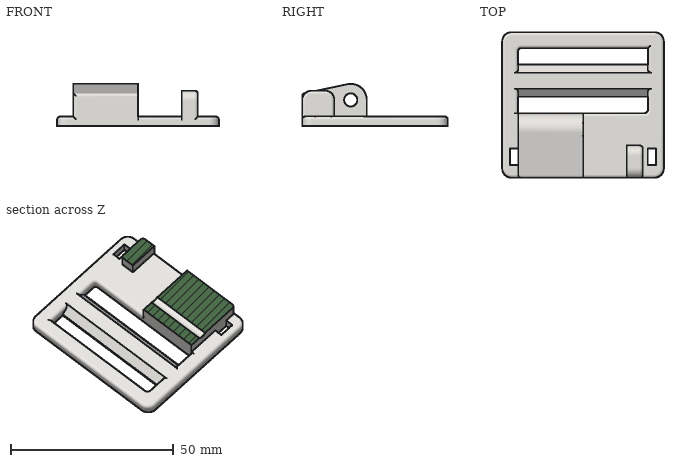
import cadquery as cq
import math

length = 50
width = 45
thickness = 3
corner_radius = 3
edge_round = 1

slot_left = 5
slot_right = length - slot_left
slot_front = 20
slot_back = 40
bar_center = 30
bar_top_half = 2.5
bar_bottom_half = 5
bar_lip = 0.5
slot_corner_radius = 1

block_left = slot_left
block_length = 20
block_radius = 5
block_height = 13.1
block_front_height = 10
pin_diameter = 4

tab_left = 38.5
tab_thickness = 5
tab_depth = 10
tab_height = 11
tab_radius = 3

window_length = 2.5
window_width = 5
window_front = 4
window_inset = 2.5


def side_profile(x):
    """Workplane whose local axes are Y and Z, extruding toward +X from x."""
    return cq.Workplane("YZ").workplane(offset=x)


def make_plate():
    blank = cq.Workplane("XY").box(length, width, thickness, centered=False)
    return blank.edges("|Z").fillet(corner_radius).faces(">Z").edges().fillet(edge_round)


def make_slot(outer_y, direction, rounded_x):
    """Cutter with a sloped bar side, one rounded outer corner and a flared rim.

    direction points from the bar toward the outer wall of the slot.
    """
    cutter = (
        side_profile(slot_left)
        .polyline([
            (outer_y, 0),
            (bar_center + direction * bar_bottom_half, 0),
            (bar_center + direction * bar_bottom_half, bar_lip),
            (bar_center + direction * bar_top_half, thickness),
            (outer_y, thickness),
        ])
        .close()
        .extrude(slot_right - slot_left)
    )
    corner = cq.selectors.NearestToPointSelector((rounded_x, outer_y, thickness / 2))
    return cutter.edges(corner).fillet(slot_corner_radius)


def round_slot_rim(plate, outer_y, direction):
    """Round the top edges of the slot's end walls and outer wall."""
    bar_y = bar_center + direction * bar_top_half
    low_y, high_y = sorted((bar_y, outer_y))
    margin = 0.25
    rim = cq.selectors.BoxSelector(
        (slot_left - margin, low_y - margin, thickness - margin),
        (slot_right + margin, high_y + margin, thickness + margin),
    )
    bar_edge = cq.selectors.NearestToPointSelector((length / 2, bar_y, thickness))
    return plate.edges(rim - bar_edge).fillet(edge_round)


def make_block():
    arc_y = slot_front - block_radius
    arc_z = block_height - block_radius
    rise = block_front_height - arc_z
    distance = math.hypot(arc_y, rise)
    tangent_angle = math.atan2(rise, -arc_y) - math.acos(block_radius / distance)
    middle_angle = tangent_angle / 2

    def arc_point(angle):
        return (
            arc_y + block_radius * math.cos(angle),
            arc_z + block_radius * math.sin(angle),
        )

    block = (
        side_profile(block_left)
        .moveTo(0, 0)
        .lineTo(slot_front, 0)
        .lineTo(*arc_point(0))
        .threePointArc(arc_point(middle_angle), arc_point(tangent_angle))
        .lineTo(0, block_front_height)
        .close()
        .extrude(block_length)
    )
    front_top = cq.selectors.NearestToPointSelector(
        (block_left + block_length / 2, 0, block_front_height))
    front_left = cq.selectors.NearestToPointSelector((block_left, 0, block_front_height / 2))
    block = block.edges(front_top + front_left).fillet(edge_round)
    pin_hole = (
        side_profile(block_left)
        .center(arc_y, arc_z)
        .circle(pin_diameter / 2)
        .extrude(block_length)
    )
    return block.cut(pin_hole)


def make_tab():
    blank = side_profile(tab_left).rect(tab_depth, tab_height, centered=False).extrude(tab_thickness)
    tab = blank.faces(">Z").edges("|X").fillet(tab_radius)
    outer_rim = tab.faces(">X").edges("not <Z")
    return tab.newObject(outer_rim.vals()).fillet(edge_round)


def make_windows():
    left = cq.Workplane("XY").box(window_length, window_width, thickness, centered=False)
    left = left.translate((window_inset, window_front, 0))
    right = left.translate((length - 2 * window_inset - window_length, 0, 0))
    return left.union(right)


plate = make_plate()
for outer_y, direction, rounded_x in ((slot_back, 1, slot_left), (slot_front, -1, slot_right)):
    plate = plate.cut(make_slot(outer_y, direction, rounded_x))
    plate = round_slot_rim(plate, outer_y, direction)

rim_stop = (
    cq.Workplane("XY")
    .box(edge_round, edge_round, thickness, centered=False)
    .translate((block_left - edge_round, slot_front - edge_round, 0))
)

result = plate.union(rim_stop).union(make_block()).union(make_tab()).cut(make_windows())